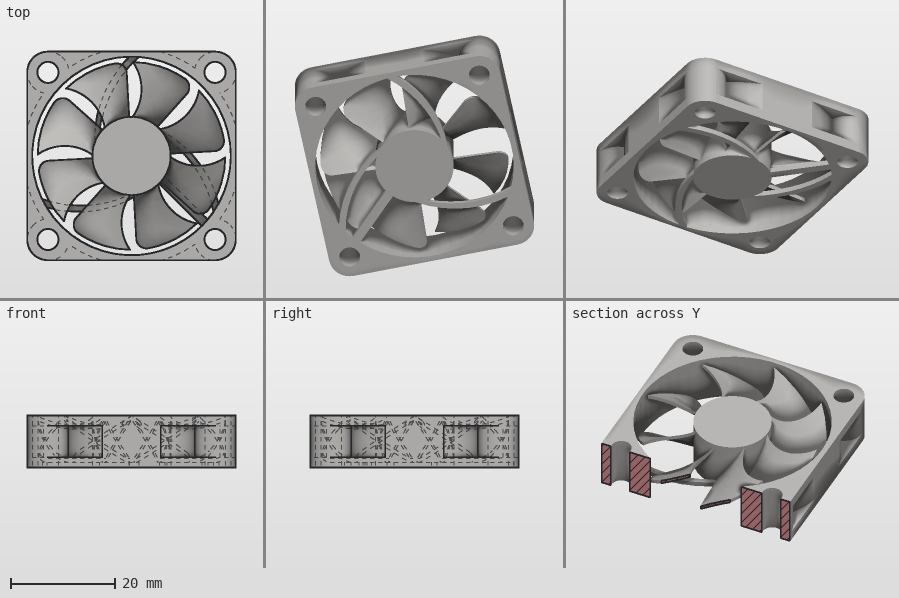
import cadquery as cq
import math

side = 40.0
height = 10.0
corner_radius = 4.0
bore_diameter = 38.0
hole_spacing = 32.0
hole_diameter = 4.0

flange_thickness = 2.0
bore_wall = 1.75

hub_diameter = 15.0
hub_radius = hub_diameter / 2
bore_radius = bore_diameter / 2
strut_thickness = 1.0
strut_count = 3
strut_overlap = 0.3
strut_outer_arc = (15.25, 12.4, 21.95)
strut_inner_arc = (16.1, 7.5, 22.25)
cable_strut_width = 1.7
cable_strut_angle = -45.0

blade_count = 8
blade_radius = 18.0
blade_bottom = 1.0
blade_thickness = 0.8
blade_pitch = 70.4
blade_corner_radius = 2.0
trailing_angle = 93.2
leading_arc = (14.7, 164.5, 9.1)
helicoid_inner_radius = 6.0
helicoid_outer_radius = 20.0
helicoid_rise = 8.8
outline_inner_radius = 6.4


def polar(radius, angle):
    return (radius * math.cos(math.radians(angle)), radius * math.sin(math.radians(angle)))


def arc_point(arc, radius, turn):
    """Point at the given distance from the axis on an arc, on the side of its centre set by turn."""
    centre_distance, centre_angle, arc_radius = arc
    cosine = (radius**2 + centre_distance**2 - arc_radius**2) / (2 * radius * centre_distance)
    return polar(radius, centre_angle + turn * math.degrees(math.acos(cosine)))


def cylinder(radius, bottom, top):
    return cq.Workplane("XY").workplane(offset=bottom).circle(radius).extrude(top - bottom)


def turned(shape, angle):
    return shape.rotate((0, 0, 0), (0, 0, 1), angle)


def make_shell():
    block = cq.Workplane("XY").rect(side, side).extrude(height).edges("|Z").fillet(corner_radius)

    core_height = height - 2 * flange_thickness
    core_plane = cq.Workplane("XY").workplane(offset=flange_thickness)
    wall = cylinder(bore_radius + bore_wall, flange_thickness, height - flange_thickness)
    hole_centres = core_plane.rect(hole_spacing, hole_spacing, forConstruction=True).vertices()
    posts = hole_centres.circle(corner_radius).extrude(core_height)
    corners = core_plane.rect(side, side, forConstruction=True).vertices()
    corner_blocks = corners.rect(2 * corner_radius, 2 * corner_radius).extrude(core_height)
    pockets = core_plane.rect(2 * side, 2 * side).extrude(core_height)
    pockets = pockets.cut(wall).cut(posts).cut(corner_blocks)

    holes = (
        cq.Workplane("XY").rect(hole_spacing, hole_spacing, forConstruction=True).vertices()
        .circle(hole_diameter / 2).extrude(height)
    )
    return block.cut(pockets).cut(cylinder(bore_radius, 0, height)).cut(holes)


def make_curved_strut():
    start = hub_radius - strut_overlap
    end = bore_radius + strut_overlap
    middle = (start + end) / 2
    return (
        cq.Workplane("XY")
        .moveTo(*arc_point(strut_outer_arc, start, 1))
        .threePointArc(arc_point(strut_outer_arc, middle, 1), arc_point(strut_outer_arc, end, 1))
        .lineTo(*arc_point(strut_inner_arc, end, 1))
        .threePointArc(arc_point(strut_inner_arc, middle, 1), arc_point(strut_inner_arc, start, 1))
        .close()
        .extrude(strut_thickness)
    )


def make_cable_strut():
    """Straight strut from the axis to the bore wall with one edge on a radial line."""
    strut = cq.Workplane("XY").rect(bore_radius + strut_overlap, cable_strut_width, centered=False)
    return turned(strut.extrude(strut_thickness), cable_strut_angle)


def make_housing():
    housing = make_shell().union(make_cable_strut())
    for i in range(strut_count):
        housing = housing.union(turned(make_curved_strut(), i * 360 / strut_count))
    return housing.union(cylinder(hub_radius, 0, height))


def make_helicoid():
    """Helical sheet of constant vertical thickness whose lowest edge is the trailing edge."""
    inner_helix, outer_helix = (
        cq.Wire.makeHelix(blade_pitch, helicoid_rise, radius).Edges()[0]
        for radius in (helicoid_inner_radius, helicoid_outer_radius)
    )
    surface = cq.Face.makeRuledSurface(inner_helix, outer_helix)
    sheet = cq.Workplane(cq.Solid.extrudeLinear(surface, cq.Vector(0, 0, blade_thickness)))
    return turned(sheet.translate((0, 0, blade_bottom)), trailing_angle)


def make_blade_outline():
    """Upright prism with the outline of a blade seen along the axis."""
    leading_inner, leading_middle, leading_tip = (
        arc_point(leading_arc, radius, -1)
        for radius in (outline_inner_radius, (outline_inner_radius + blade_radius) / 2, blade_radius)
    )
    leading_tip_angle = math.degrees(math.atan2(leading_tip[1], leading_tip[0]))
    trailing_tip = polar(blade_radius, trailing_angle)
    prism = (
        cq.Workplane("XY")
        .moveTo(*polar(outline_inner_radius, trailing_angle))
        .lineTo(*trailing_tip)
        .threePointArc(polar(blade_radius, (trailing_angle + leading_tip_angle) / 2), leading_tip)
        .threePointArc(leading_middle, leading_inner)
        .close()
        .extrude(height)
    )
    trailing_corner = cq.selectors.NearestToPointSelector((*trailing_tip, height / 2))
    return prism.edges("|Z").edges(trailing_corner).fillet(blade_corner_radius)


def make_blade():
    blade = make_helicoid().intersect(make_blade_outline())
    return blade.cut(cylinder(hub_radius, 0, height))


def make_blades():
    blade = make_blade()
    return [turned(blade, i * 360 / blade_count).solids().val() for i in range(blade_count)]


housing = make_housing()
blades = make_blades()
result = cq.Compound.makeCompound([housing.solids().val(), *blades])